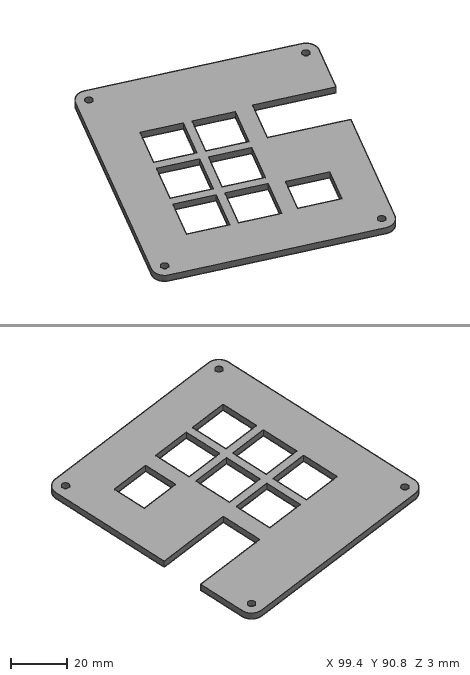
import cadquery as cq

length = 99.4
width = 90.8
thickness = 3.0
corner_radius = 5.0

hole_diameter = 3.0
hole_inset = corner_radius

notch_left = 25.0
notch_width = 17.5
notch_depth = 31.1

key_size = 16.1
key_pitch = 19.4
key_columns = 3
key_rows = 2
first_key_left = 26.3
first_key_front = 17.3

window_left = 66.0
window_front = 59.0
window_length = 14.4
window_width = 16.5


def block(left, front, size_x, size_y):
    """Box as tall as the plate, with its front left bottom corner at (left, front, 0)."""
    box = cq.Workplane("XY").box(size_x, size_y, thickness, centered=False)
    return box.translate((left, front, 0))


def rounded_plate():
    return block(0, 0, length, width).edges("|Z").fillet(corner_radius)


def mounting_holes():
    return (
        cq.Workplane("XY")
        .center(length / 2, width / 2)
        .rect(length - 2 * hole_inset, width - 2 * hole_inset, forConstruction=True)
        .vertices()
        .circle(hole_diameter / 2)
        .extrude(thickness)
    )


def key_window(column, row):
    left = first_key_left + column * key_pitch
    front = first_key_front + row * key_pitch
    return block(left, front, key_size, key_size)


plate = rounded_plate().cut(mounting_holes())
plate = plate.cut(block(notch_left, width - notch_depth, notch_width, notch_depth))
plate = plate.cut(block(window_left, window_front, window_length, window_width))

for column in range(key_columns):
    for row in range(key_rows):
        plate = plate.cut(key_window(column, row))

result = plate